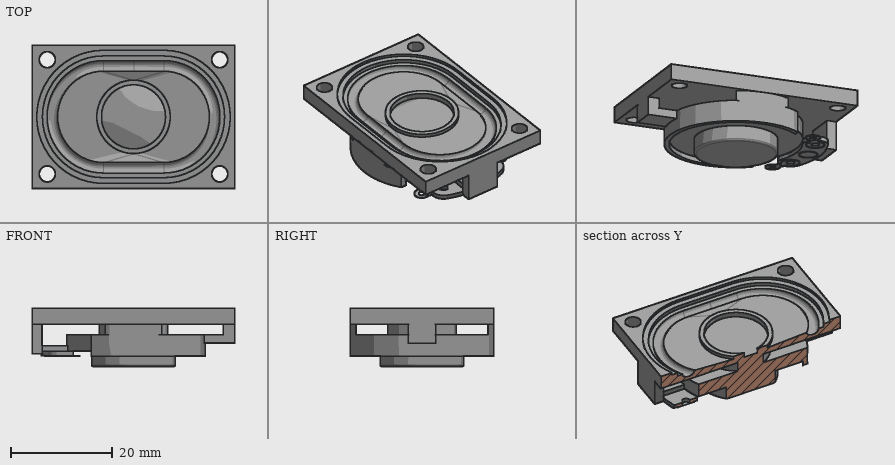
import cadquery as cq
import math

PLATE_LENGTH = 40.0
PLATE_WIDTH = 28.3
PLATE_THICKNESS = 3.2
TOTAL_HEIGHT = 11.5

HOLE_DIAMETER = 3.1
HOLE_SPACING_X = 34.0
HOLE_SPACING_Y = 22.5

END_CENTRE_X = 5.95
OUTER_RECESS_RADIUS = 13.1
INNER_RECESS_RADIUS = 12.0
GROOVE_OUTER_RADIUS = 11.1
CONE_RIM_RADIUS = 9.0
OUTER_RECESS_DEPTH = 0.5
LAND_DEPTH = 1.3

CONE_DEPTH = 1.8
RING_OUTER_RADIUS = 7.25
RING_INNER_RADIUS = 6.3
RING_TOP_DEPTH = 1.1
DOME_BASE_DEPTH = 2.25
DOME_HEIGHT = 1.1

BASKET_RADIUS = PLATE_WIDTH / 2
DISC_RADIUS = 13.2
DISC_TOP_DEPTH = 5.25
DISC_BOTTOM_DEPTH = 8.5
SKIRT_BOTTOM_DEPTH = 9.5
SKIRT_CUT_X = -8.35
NECK_RADIUS = 6.8
SIDE_ARM_INNER_Y = 13.0

ARM_WIDTH = 5.35
LEFT_POST_WIDTH = 7.1
LEFT_POST_THICKNESS = 2.0
LEFT_POST_BOTTOM_DEPTH = 9.05
LEFT_STRIP_TOP_DEPTH = 7.4
RIGHT_POST_THICKNESS = 2.3
RIGHT_STRIP_BOTTOM_DEPTH = 6.9

POT_RADIUS = 8.3
POT_FILLET = 0.4

BOARD_MID_RADIUS = 15.65
BOARD_HALF_WIDTH = 2.5
BOARD_HALF_ANGLE = 22.2
BOARD_TURN = 1.0
BOARD_BOTTOM_DEPTH = 9.35

RIVET_RADIUS = 1.85
RIVET_HOLE_RADIUS = 0.8
LUG_NECK_WIDTH = 1.6
LUG_EYE_ANGLE = 38.2
LUG_EYE_RADIUS = 1.5
LUG_HOLE_RADIUS = 0.6


def cylinder(radius, top_depth, bottom_depth, x=0, y=0):
    """Vertical cylinder between two depths below the top face."""
    height = bottom_depth - top_depth
    return cq.Workplane(origin=(x, y, -bottom_depth)).circle(radius).extrude(height)


def block(x_min, x_max, y_min, y_max, top_depth, bottom_depth):
    """Axis-aligned block between two depths below the top face."""
    size = (x_max - x_min, y_max - y_min, bottom_depth - top_depth)
    return cq.Workplane(origin=(x_min, y_min, -bottom_depth)).box(*size, centered=False)


def racetrack(radius, depth):
    """Racetrack-shaped cutter from the top face down to a depth."""
    length = 2 * (END_CENTRE_X + radius)
    return cq.Workplane().slot2D(length, 2 * radius).extrude(-depth)


def surround_groove():
    """Half-round groove that runs around the cone on a racetrack path."""
    path_radius = (GROOVE_OUTER_RADIUS + CONE_RIM_RADIUS) / 2
    section_radius = (GROOVE_OUTER_RADIUS - CONE_RIM_RADIUS) / 2
    torus = cq.Workplane(cq.Solid.makeTorus(path_radius, section_radius))
    reach = path_radius + section_radius
    right_end = torus.intersect(block(0, reach, -reach, reach, -reach, reach))
    right_end = right_end.translate((END_CENTRE_X, 0, 0))
    groove = right_end.union(right_end.mirror("YZ"))
    for side in (-1, 1):
        straight = cq.Workplane("YZ").center(side * path_radius, 0).circle(section_radius)
        groove = groove.union(straight.extrude(END_CENTRE_X, both=True))
    return groove.translate((0, 0, -LAND_DEPTH))


def cone_recess():
    """Cutter that narrows from the racetrack rim down to the ring's outer circle."""
    height = CONE_DEPTH - LAND_DEPTH

    def half_disc(radius, centre_x, depth):
        return (
            cq.Workplane(origin=(centre_x, 0, -depth))
            .moveTo(0, radius)
            .threePointArc((radius, 0), (0, -radius))
            .close()
            .val()
        )

    rim = half_disc(CONE_RIM_RADIUS, END_CENTRE_X, LAND_DEPTH)
    base = half_disc(RING_OUTER_RADIUS, 0, CONE_DEPTH)
    right_end = cq.Workplane(cq.Solid.makeLoft([rim, base], True))

    triangle = (
        cq.Workplane("XZ")
        .polyline([(-END_CENTRE_X, 0), (END_CENTRE_X, 0), (0, -height)])
        .close()
        .extrude(CONE_RIM_RADIUS, both=True)
    )
    trapezoid = (
        cq.Workplane("YZ")
        .polyline([
            (-CONE_RIM_RADIUS, 0),
            (CONE_RIM_RADIUS, 0),
            (RING_OUTER_RADIUS, -height),
            (-RING_OUTER_RADIUS, -height),
        ])
        .close()
        .extrude(END_CENTRE_X, both=True)
    )
    middle = triangle.intersect(trapezoid).translate((0, 0, -LAND_DEPTH))
    return middle.union(right_end).union(right_end.mirror("YZ"))


def flange_plate():
    """Rectangular plate with its screw holes, recesses, groove and cone."""
    half_length = PLATE_LENGTH / 2
    half_width = PLATE_WIDTH / 2
    plate = block(-half_length, half_length, -half_width, half_width, 0, PLATE_THICKNESS)
    for side_x in (-1, 1):
        for side_y in (-1, 1):
            hole_x = side_x * HOLE_SPACING_X / 2
            hole_y = side_y * HOLE_SPACING_Y / 2
            plate = plate.cut(cylinder(HOLE_DIAMETER / 2, 0, PLATE_THICKNESS, hole_x, hole_y))
    plate = plate.cut(racetrack(OUTER_RECESS_RADIUS, OUTER_RECESS_DEPTH))
    plate = plate.cut(racetrack(INNER_RECESS_RADIUS, LAND_DEPTH))
    return plate.cut(surround_groove()).cut(cone_recess())


def coil_ring():
    """Raised ring around the dust dome."""
    return cylinder(RING_OUTER_RADIUS, RING_TOP_DEPTH, PLATE_THICKNESS)


def dome_well():
    """Cutter inside the ring that leaves a convex dome at its bottom."""
    well = cylinder(RING_INNER_RADIUS, RING_TOP_DEPTH, DOME_BASE_DEPTH)
    sphere_radius = (RING_INNER_RADIUS**2 + DOME_HEIGHT**2) / (2 * DOME_HEIGHT)
    sphere_depth = DOME_BASE_DEPTH - DOME_HEIGHT + sphere_radius
    sphere = cq.Workplane(origin=(0, 0, -sphere_depth)).sphere(sphere_radius)
    return well.cut(sphere)


def basket():
    """Disc, open skirt on the +X side, neck and the two side arms up to the plate."""
    disc = cylinder(DISC_RADIUS, DISC_TOP_DEPTH, DISC_BOTTOM_DEPTH)
    skirt = cylinder(BASKET_RADIUS, DISC_TOP_DEPTH, SKIRT_BOTTOM_DEPTH)
    skirt = skirt.cut(cylinder(DISC_RADIUS, DISC_BOTTOM_DEPTH, SKIRT_BOTTOM_DEPTH))
    skirt = skirt.intersect(
        block(SKIRT_CUT_X, BASKET_RADIUS, -BASKET_RADIUS, BASKET_RADIUS, 0, TOTAL_HEIGHT)
    )
    neck = cylinder(NECK_RADIUS, PLATE_THICKNESS, DISC_TOP_DEPTH)
    gap = block(-BASKET_RADIUS, BASKET_RADIUS, -SIDE_ARM_INNER_Y, SIDE_ARM_INNER_Y, 0, TOTAL_HEIGHT)
    side_arms = cylinder(BASKET_RADIUS, PLATE_THICKNESS, DISC_TOP_DEPTH).cut(gap)
    return disc.union(skirt).union(neck).union(side_arms)


def radial_arms():
    """Posts at both plate ends, joined to the disc by flat strips."""
    end = PLATE_LENGTH / 2
    half = ARM_WIDTH / 2
    post_half = LEFT_POST_WIDTH / 2
    left_post = block(
        -end, -end + LEFT_POST_THICKNESS, -post_half, post_half, PLATE_THICKNESS, LEFT_POST_BOTTOM_DEPTH
    )
    left_strip = block(-end, -NECK_RADIUS, -half, half, LEFT_STRIP_TOP_DEPTH, DISC_BOTTOM_DEPTH)
    right_post = block(
        end - RIGHT_POST_THICKNESS, end, -half, half, PLATE_THICKNESS, RIGHT_STRIP_BOTTOM_DEPTH
    )
    right_strip = block(NECK_RADIUS, end, -half, half, DISC_TOP_DEPTH, RIGHT_STRIP_BOTTOM_DEPTH)
    return left_post.union(left_strip).union(right_post).union(right_strip)


def magnet_pot():
    pot = cylinder(POT_RADIUS, DISC_BOTTOM_DEPTH, TOTAL_HEIGHT)
    return pot.faces("<Z").edges().fillet(POT_FILLET)


def board_point(radius, angle):
    """Point at an angle from the -X direction; positive angles lean towards -Y."""
    return (-radius * math.cos(math.radians(angle)), -radius * math.sin(math.radians(angle)))


def terminal_board():
    inner = BOARD_MID_RADIUS - BOARD_HALF_WIDTH
    outer = BOARD_MID_RADIUS + BOARD_HALF_WIDTH
    cap_tip_angle = BOARD_HALF_ANGLE + math.degrees(math.atan(BOARD_HALF_WIDTH / BOARD_MID_RADIUS))
    cap_tip_radius = math.hypot(BOARD_MID_RADIUS, BOARD_HALF_WIDTH)
    return (
        cq.Workplane(origin=(0, 0, -BOARD_BOTTOM_DEPTH))
        .moveTo(*board_point(outer, -BOARD_HALF_ANGLE))
        .threePointArc(board_point(outer, 0), board_point(outer, BOARD_HALF_ANGLE))
        .threePointArc(board_point(cap_tip_radius, cap_tip_angle), board_point(inner, BOARD_HALF_ANGLE))
        .threePointArc(board_point(inner, 0), board_point(inner, -BOARD_HALF_ANGLE))
        .threePointArc(board_point(cap_tip_radius, -cap_tip_angle), board_point(outer, -BOARD_HALF_ANGLE))
        .close()
        .extrude(BOARD_BOTTOM_DEPTH - DISC_BOTTOM_DEPTH)
    )


def solder_lug(side):
    """Thin flat lug: round base under the board, neck and pierced eye past the board end."""
    base_x, base_y = board_point(BOARD_MID_RADIUS, side * BOARD_HALF_ANGLE)
    eye_x, eye_y = board_point(BOARD_MID_RADIUS, side * LUG_EYE_ANGLE)
    eye_distance = math.hypot(eye_x - base_x, eye_y - base_y)
    lug_angle = math.degrees(math.atan2(eye_y - base_y, eye_x - base_x))
    half_neck = LUG_NECK_WIDTH / 2

    base = cylinder(RIVET_RADIUS, BOARD_BOTTOM_DEPTH, SKIRT_BOTTOM_DEPTH)
    neck = block(0, eye_distance, -half_neck, half_neck, BOARD_BOTTOM_DEPTH, SKIRT_BOTTOM_DEPTH)
    eye = cylinder(LUG_EYE_RADIUS, BOARD_BOTTOM_DEPTH, SKIRT_BOTTOM_DEPTH, eye_distance)
    hole = cylinder(LUG_HOLE_RADIUS, BOARD_BOTTOM_DEPTH, SKIRT_BOTTOM_DEPTH, eye_distance)
    lug = base.union(neck).union(eye).cut(hole)
    return lug.rotate((0, 0, 0), (0, 0, 1), lug_angle).translate((base_x, base_y, 0))


def terminals():
    """Terminal board with a centre rivet head and a soldering lug below each rivet hole."""
    board = terminal_board()
    for side in (-1, 1):
        hole_x, hole_y = board_point(BOARD_MID_RADIUS, side * BOARD_HALF_ANGLE)
        board = board.cut(
            cylinder(RIVET_HOLE_RADIUS, DISC_BOTTOM_DEPTH, BOARD_BOTTOM_DEPTH, hole_x, hole_y)
        )
        board = board.union(solder_lug(side))
    rivet = cylinder(RIVET_RADIUS, BOARD_BOTTOM_DEPTH, SKIRT_BOTTOM_DEPTH, -BOARD_MID_RADIUS)
    return board.union(rivet).rotate((0, 0, 0), (0, 0, 1), BOARD_TURN)


result = (
    flange_plate()
    .union(coil_ring())
    .cut(dome_well())
    .union(basket())
    .union(radial_arms())
    .union(magnet_pot())
    .union(terminals())
)